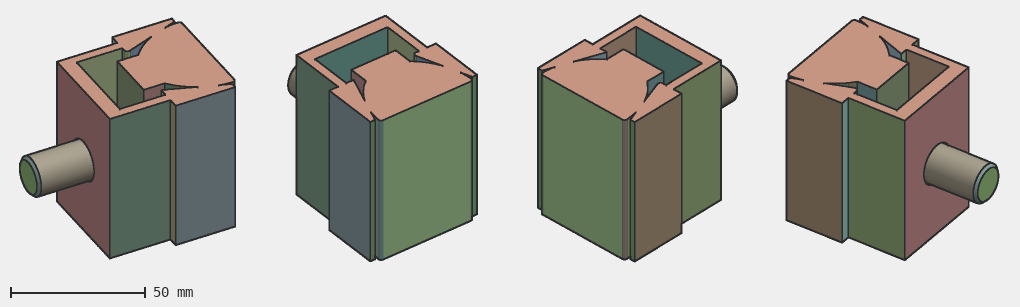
import cadquery as cq
import math

total_length = 75.8
height = 63.5

body_back_y = 23.2
floor_thickness = 6.3
web_outer = 20.8
web_inner = 16.9
jaw_outer = 24.9
jaw_bottom_y = 48.7
jaw_top_y = 73.8
jaw_mouth = 22.7
jaw_angle = 20.0
jaw_tip_radius = 1.4
jaw_tip = jaw_mouth - (jaw_top_y - jaw_bottom_y) * math.tan(math.radians(jaw_angle))

block_half_width = 21.6
block_corner_radius = 1.1
flank_top_y = 74.3
flank_middle = (18.3, 61.7)
flank_end = (12.95, 54.3)
neck_half_width = 10.3
neck_top_y = 51.85
neck_bottom_y = 43.05

collar_diameter = 2 * neck_half_width
collar_thickness = 0.3
collar_bottom_y = neck_bottom_y - collar_thickness

stud_diameter = 16.0
stud_hole_diameter = 16.8
stud_chamfer = 1.2


def extrude_profile(profile):
    """Close an XY profile and extrude it symmetrically about Z = 0."""
    return profile.close().extrude(height / 2, both=True)


def y_cylinder(diameter, start_y, end_y):
    """Cylinder along +Y, centred on the stud axis."""
    plane = cq.Plane(origin=(0, start_y, 0), xDir=(1, 0, 0), normal=(0, 1, 0))
    return cq.Workplane(plane).circle(diameter / 2).extrude(end_y - start_y)


def make_body():
    floor_y = body_back_y + floor_thickness
    right_side = [
        (web_outer, body_back_y),
        (web_outer, jaw_bottom_y),
        (jaw_outer, jaw_bottom_y),
        (jaw_outer, jaw_top_y),
        (jaw_mouth, jaw_top_y),
        (jaw_tip, jaw_bottom_y),
        (web_inner, jaw_bottom_y),
        (web_inner, floor_y),
    ]
    left_side = [(-x, y) for x, y in reversed(right_side)]
    body = extrude_profile(cq.Workplane("XY").polyline(right_side + left_side))
    left_tip = cq.selectors.NearestToPointSelector((-jaw_tip, jaw_bottom_y, 0))
    body = body.edges("|Z").edges(left_tip).fillet(jaw_tip_radius)
    return body.cut(y_cylinder(stud_hole_diameter, body_back_y, floor_y))


def make_block():
    def mirrored(point):
        return (-point[0], point[1])

    flank_start = (block_half_width, flank_top_y)
    profile = (
        cq.Workplane("XY")
        .moveTo(-neck_half_width, neck_bottom_y)
        .lineTo(neck_half_width, neck_bottom_y)
        .lineTo(neck_half_width, neck_top_y)
        .lineTo(*flank_end)
        .threePointArc(flank_middle, flank_start)
        .lineTo(block_half_width, total_length)
        .lineTo(-block_half_width, total_length)
        .lineTo(*mirrored(flank_start))
        .threePointArc(mirrored(flank_middle), mirrored(flank_end))
        .lineTo(-neck_half_width, neck_top_y)
    )
    return extrude_profile(profile).edges("|Z and >Y").fillet(block_corner_radius)


def make_collar():
    return y_cylinder(collar_diameter, collar_bottom_y, neck_bottom_y)


def make_stud():
    return y_cylinder(stud_diameter, 0, neck_bottom_y).faces("<Y").chamfer(stud_chamfer)


result = make_body().union(make_block()).union(make_collar()).union(make_stud())